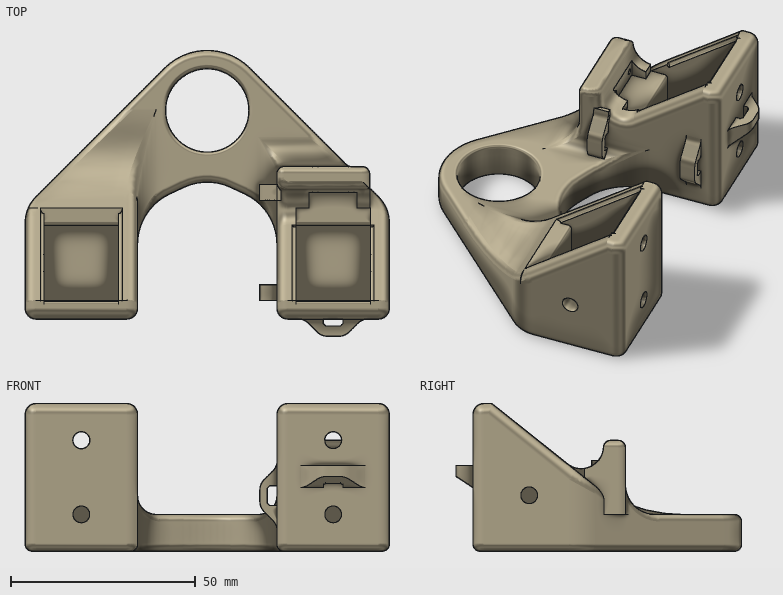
import cadquery as cq
import math

width = 98.5
plate_t = 10.0
ring_y = 56.4
ring_r = 16.3
bore_r = 11.2
bore_round = 1.1
shoulder_r = 9.9
arch_top = 37.0
arch_angle = math.radians(25)
arch_r = 15.0
plate_round = 2.0

height = 40.0
block_w = 30.4
block_round = 3.0
wall = 5.1
pocket_size = 20.2
mouth_round = 1.0
step_z = height / 2
slope_start = wall
slope_end = 30.1
slope_blend_r = 40.0
web_r = 5.0

clip_front = 35.3
clip_t = 6.0
clip_top = 30.0
clip_end = 43.9
notch_r = 6.0
clip_blend_r = 8.0
clip_slot_w = 13.0
clip_slot_y = 34.3
pin_d = 1.5
pin_gap = 9.8
pin_z = 22.5

hole_d = 4.5
front_hole_zs = (10.0, 30.0)
side_hole_z = 15.2

loop_half = 9.6
loop_reach = 4.6
loop_r = 4.0
loop_slot_w = 5.2
loop_slot_chamfer = 0.6
loop_root = 1.0
loop_bed = 0.1
front_loop_top = 23.2
front_loop_t = 6.0
front_loop_tip_t = 3.0
front_slot_depth = 1.8
side_loop_t = 4.3
side_loop_z = 15.1
side_loop_ys = (7.2, 34.3)
side_slot_depth = 2.6

overcut = 1.0
half_w = width / 2
inner_x = half_w - block_w
block_x = half_w - block_w / 2
pocket_back = wall + pocket_size
apex_y = ring_y + ring_r * math.sqrt(2)
shoulder_y = apex_y - half_w
arch_apex_y = arch_top + arch_r * (1 / math.cos(arch_angle) - 1)
arch_side_y = arch_apex_y - inner_x * math.tan(arch_angle)
slope = math.atan2(height - step_z, slope_end - slope_start)
slope_foot_y = slope_start + (height - plate_t) / math.tan(slope)
slope_blend_len = slope_blend_r * math.tan(slope / 2)
slope_tail_y = slope_foot_y + slope_blend_len
notch_y = clip_front - notch_r * (1 + math.sin(slope))
notch_z = height - (notch_y - slope_start) * math.tan(slope)
clip_back = clip_front + clip_t
seam_x = web_r - inner_x + overcut
far = 2 * width


def box(x0, x1, y0, y1, z0, z1):
    return cq.Workplane("XY").box(x1 - x0, y1 - y0, z1 - z0, centered=False).translate((x0, y0, z0))


def edges_in(solid, x0, x1, y0, y1, z0, z1):
    """Edges that lie wholly inside the given box."""
    tol = 0.02
    low = (x0 - tol, y0 - tol, z0 - tol)
    high = (x1 + tol, y1 + tol, z1 + tol)
    return solid.edges(cq.selectors.BoxSelector(low, high, boundingbox=True))


def outline_prism():
    """Outline seen from above, at full height, with rounded corners."""
    corners = [
        (-half_w, 0, block_round),
        (-inner_x, 0, block_round),
        (-inner_x, arch_side_y, arch_r),
        (0, arch_apex_y, arch_r),
        (inner_x, arch_side_y, arch_r),
        (inner_x, 0, block_round),
        (half_w, 0, block_round),
        (half_w, shoulder_y, shoulder_r),
        (0, apex_y, ring_r),
        (-half_w, shoulder_y, shoulder_r),
    ]
    prism = cq.Workplane("XY").polyline([(x, y) for x, y, _ in corners]).close().extrude(height)
    for x, y, radius in corners:
        prism = edges_in(prism, x, x, y, y, 0, height).fillet(radius)
    return prism


def block_section():
    """Cross-section of the right block and its concave web, run along Y."""
    return (
        cq.Workplane("XZ")
        .moveTo(half_w, 0)
        .lineTo(inner_x - web_r, 0)
        .lineTo(inner_x - web_r, plate_t)
        .radiusArc((inner_x, plate_t + web_r), -web_r)
        .lineTo(inner_x, height)
        .lineTo(half_w, height)
        .close()
        .extrude(-far)
    )


def slope_profile():
    """Side profile of a block, started up to the front end of its slope."""
    return cq.Workplane("YZ").lineTo(0, height).lineTo(slope_start, height)


def left_wedge():
    blend_y = slope_foot_y - slope_blend_len * math.cos(slope)
    blend_z = plate_t + slope_blend_len * math.sin(slope)
    return (
        slope_profile()
        .lineTo(blend_y, blend_z)
        .radiusArc((slope_tail_y, plate_t), -slope_blend_r)
        .lineTo(slope_tail_y, 0)
        .close()
        .extrude(-half_w)
    )


def right_wedge():
    plain = slope_profile().lineTo(slope_foot_y, plate_t).lineTo(slope_foot_y, 0).close().extrude(half_w)
    clip_side = (
        slope_profile()
        .lineTo(notch_y, notch_z)
        .radiusArc((clip_front, notch_z + notch_r * math.cos(slope)), -notch_r)
        .lineTo(clip_front, clip_top)
        .lineTo(clip_back, clip_top)
        .lineTo(clip_back, plate_t + clip_blend_r)
        .radiusArc((clip_back + clip_blend_r, plate_t), -clip_blend_r)
        .lineTo(clip_back + clip_blend_r, 0)
        .close()
        .extrude(clip_end)
    )
    return plain.union(clip_side)


def inner_rim(solid, side, end_y):
    """Top edges of a block's inner wall; a fillet runs on into the tangent edges."""
    x = side * inner_x
    level = edges_in(solid, x, x, 0, slope_start, height, height)
    return edges_in(solid, x, x, slope_start, end_y, plate_t + web_r, height).add(level)


def full_rim(solid, side, end_y):
    """Top edges of a block's inner, front and outer walls."""
    x = side * half_w
    level = edges_in(solid, x, x, 0, slope_start, height, height)
    sloped = edges_in(solid, x, x, slope_start, slope_end, step_z, height)
    return inner_rim(solid, side, end_y).add(level).add(sloped)


outline = outline_prism()
plate = outline.intersect(box(-far, far, 0, far, 0, plate_t))


def left_side():
    limit = block_section().mirror("YZ").intersect(outline)
    sharp = plate.union(left_wedge().intersect(limit)).clean()
    sharp = sharp.intersect(box(-far, seam_x, 0, far, 0, height))
    rim_end_y = arch_top + overcut
    front = full_rim(sharp, -1, rim_end_y).fillet(block_round)
    front = front.intersect(box(-far, seam_x, 0, slope_end, 0, height))
    back = inner_rim(sharp, -1, rim_end_y).fillet(block_round)
    back = back.intersect(box(-far, seam_x, slope_end, far, 0, height))
    back = edges_in(back, -half_w, seam_x, ring_y, far, plate_t, plate_t).edges(">Y").fillet(plate_round)
    return front.union(back)


def right_side():
    limit = block_section().intersect(outline)
    side = plate.union(right_wedge().intersect(limit)).clean()
    side = side.intersect(box(seam_x, far, 0, far, 0, height))
    ring_edge = edges_in(side, seam_x, half_w, ring_y, far, plate_t, plate_t).edges(">Y")
    side = ring_edge.fillet(plate_round)
    side = side.union(box(inner_x, clip_end, clip_front, clip_back, plate_t, clip_top))
    side = full_rim(side, 1, clip_front).fillet(block_round)
    back_edges = edges_in(side, inner_x, clip_end, clip_back, clip_back, plate_t, clip_top).edges("|Z")
    top_edges = edges_in(side, inner_x, clip_end, clip_front, clip_back, clip_top, clip_top)
    return top_edges.add(back_edges).fillet(plate_round)


def cut_pocket(solid, side, flare_end_y):
    """Square socket, the ledge behind it and the rounded mouth."""
    center_x = side * block_x
    half = pocket_size / 2
    x0 = center_x - half
    x1 = center_x + half
    solid = solid.cut(box(x0, x1, wall, pocket_back, wall, height))
    solid = solid.cut(box(x0, x1, wall, slope_end, step_z, height))
    solid = edges_in(solid, x0, x1, wall, wall, height, height).fillet(mouth_round)
    solid = edges_in(solid, x0, x1, pocket_back, pocket_back, step_z, step_z).fillet(mouth_round)
    along = cq.Plane(
        origin=(center_x, slope_start, height),
        xDir=(1, 0, 0),
        normal=(0, math.cos(slope), -math.sin(slope)),
    )
    flare = (
        cq.Workplane(along)
        .moveTo(-half - mouth_round, 0)
        .radiusArc((-half, mouth_round), mouth_round)
        .lineTo(half, mouth_round)
        .radiusArc((half + mouth_round, 0), mouth_round)
        .close()
        .extrude((flare_end_y - slope_start) / math.cos(slope))
    )
    return solid.cut(flare.intersect(box(-far, far, 0, far, step_z, height)))


def cut_clip_slot(solid):
    """Narrow slot running from the ledge into the clip, with two pin holes."""
    half = clip_slot_w / 2
    slot = box(block_x - half, block_x + half, slope_end - overcut, clip_slot_y, step_z, height)
    pins = (
        cq.Workplane("XZ", origin=(block_x, clip_slot_y, pin_z))
        .pushPoints([(-pin_gap / 2, 0), (pin_gap / 2, 0)])
        .circle(pin_d / 2)
        .extrude(clip_slot_y - clip_back)
    )
    return solid.cut(slot).cut(pins)


def cut_screw_holes(solid):
    """Two holes through each front wall and one through each outer wall."""
    for side in (-1, 1):
        front = (
            cq.Workplane("XZ")
            .pushPoints([(side * block_x, z) for z in front_hole_zs])
            .circle(hole_d / 2)
            .extrude(-wall - overcut)
        )
        outer = (
            cq.Workplane("YZ", origin=(side * half_w, 0, 0))
            .center(wall + pocket_size / 2, side_hole_z)
            .circle(hole_d / 2)
            .extrude(-side * (wall + overcut))
        )
        solid = solid.cut(front).cut(outer)
    return solid


def strap_loop(thickness, slot_depth):
    """Loop pointing to -Y from a wall at y = 0, resting on z = 0."""
    tip = loop_reach + loop_bed
    run = loop_r * math.sin(math.pi / 4)
    bend = loop_r - run
    flat = loop_half - 2 * run - (tip - 2 * bend)
    loop = (
        cq.Workplane("XY")
        .moveTo(-loop_half, loop_root)
        .lineTo(-loop_half, 0)
        .radiusArc((-loop_half + run, -bend), loop_r)
        .lineTo(-flat - run, bend - tip)
        .radiusArc((-flat, -tip), -loop_r)
        .lineTo(flat, -tip)
        .radiusArc((flat + run, bend - tip), -loop_r)
        .lineTo(loop_half - run, -bend)
        .radiusArc((loop_half, 0), loop_r)
        .lineTo(loop_half, loop_root)
        .close()
        .extrude(thickness)
        .translate((0, loop_bed, 0))
    )
    slot = box(-loop_slot_w / 2, loop_slot_w / 2, -slot_depth, 2 * loop_root, 0, thickness)
    return loop.cut(slot.edges("|Z and <Y").chamfer(loop_slot_chamfer))


def front_loop():
    """Loop on the front wall whose underside slopes up towards the tip."""
    loop = strap_loop(front_loop_t, front_slot_depth)
    underside = (
        cq.Workplane("YZ")
        .lineTo(-loop_reach, front_loop_t - front_loop_tip_t)
        .lineTo(-loop_reach, 0)
        .close()
        .extrude(far, both=True)
    )
    return loop.cut(underside).translate((block_x, 0, front_loop_top - front_loop_t))


def side_loop(y):
    """Upright loop on the inner wall of the right block."""
    loop = strap_loop(side_loop_t, side_slot_depth).translate((0, 0, -side_loop_t / 2))
    loop = loop.rotate((0, 0, 0), (0, 0, 1), -90).rotate((0, 0, 0), (1, 0, 0), 90)
    return loop.translate((inner_x, y, side_loop_z))


body = left_side().union(right_side())
body = edges_in(body, -arch_r, arch_r, arch_side_y, arch_top, plate_t, plate_t).fillet(plate_round)
body = body.faces("<Z").edges().fillet(plate_round)
bore = cq.Workplane("XY").center(0, ring_y).circle(bore_r).extrude(plate_t)
body = body.cut(bore)
body = edges_in(body, -bore_r, bore_r, ring_y - bore_r, ring_y + bore_r, plate_t, plate_t).fillet(bore_round)
body = cut_pocket(body, -1, slope_end)
body = cut_pocket(body, 1, notch_y)
body = cut_clip_slot(body)
body = cut_screw_holes(body)
body = body.union(front_loop())
for loop_y in side_loop_ys:
    body = body.union(side_loop(loop_y))
result = body